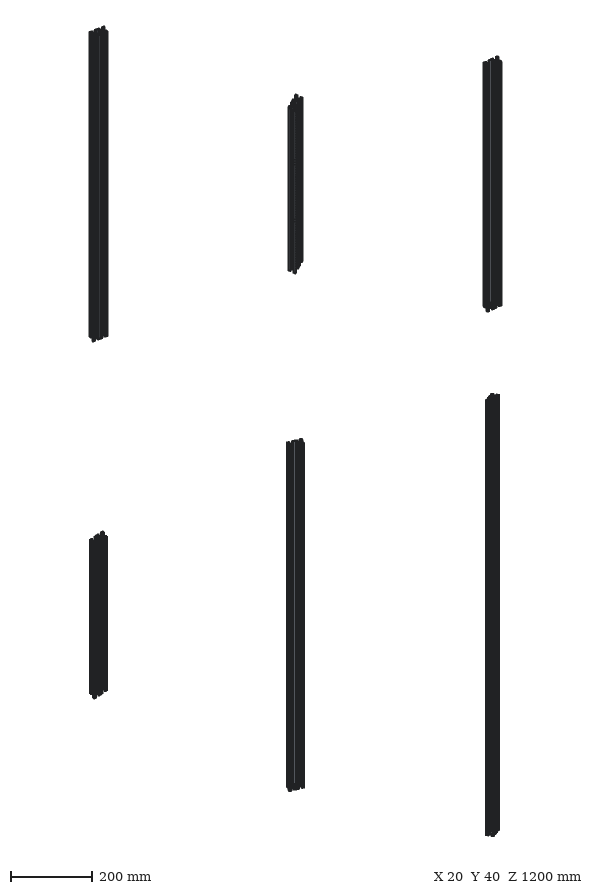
import cadquery as cq
import math

CELL = 20.0
CELL_COUNT = 2
LENGTH = 1200.0
CORNER_RADIUS = 0.5

WALL = 1.8
SLOT_MOUTH = 9.16
SLOT_THROAT = 6.2
SLOT_INNER_WIDTH = 11.0
CORE_WIDTH = 7.8
RIB_THICKNESS = 1.64
BORE_DIAMETER = 4.2

HALF_CELL = CELL / 2
WIDTH = CELL
DEPTH = CELL * CELL_COUNT
SKIN_INNER = HALF_CELL - WALL
HALF_CORE = CORE_WIDTH / 2
RIB_OFFSET = RIB_THICKNESS / 2 * math.sqrt(2)
RIB_FOOT = HALF_CORE - RIB_OFFSET
CELL_CENTERS = [(i - (CELL_COUNT - 1) / 2) * CELL for i in range(CELL_COUNT)]


def prism(points):
    """Closed outline extruded over the full length."""
    return cq.Workplane("XY").polyline(points).close().extrude(LENGTH)


def slot(angle, center_y):
    """V-slot of the cell at center_y, opening towards the given angle from +X."""
    half_mouth = SLOT_MOUTH / 2
    half_throat = SLOT_THROAT / 2
    half_inner = SLOT_INNER_WIDTH / 2
    upper_side = [
        (HALF_CELL, half_mouth),
        (HALF_CELL - (half_mouth - half_throat), half_throat),
        (SKIN_INNER, half_throat),
        (SKIN_INNER, half_inner),
        (half_inner + RIB_OFFSET, half_inner),
        (HALF_CORE, RIB_FOOT),
    ]
    lower_side = [(x, -y) for x, y in reversed(upper_side)]
    cutter = prism(upper_side + lower_side)
    return cutter.rotate((0, 0, 0), (0, 0, 1), angle).translate((0, center_y, 0))


def central_cavity():
    """Hollow between the two cores, bounded by the skins and the diagonal ribs."""
    half_wide = HALF_CELL - SLOT_INNER_WIDTH / 2 - WALL
    rib_x = HALF_CELL - RIB_OFFSET - half_wide
    quarter = [
        (SKIN_INNER, half_wide),
        (rib_x, half_wide),
        (RIB_FOOT, HALF_CELL - HALF_CORE),
    ]
    upper_half = quarter + [(-x, y) for x, y in reversed(quarter)]
    lower_half = [(-x, -y) for x, y in upper_half]
    return prism(upper_half + lower_half)


def bores():
    centers = [(0, y) for y in CELL_CENTERS]
    return cq.Workplane("XY").pushPoints(centers).circle(BORE_DIAMETER / 2).extrude(LENGTH)


result = cq.Workplane("XY").rect(WIDTH, DEPTH).extrude(LENGTH)
result = result.edges("|Z").fillet(CORNER_RADIUS)

for cell_y in CELL_CENTERS:
    for side_angle in (0, 180):
        result = result.cut(slot(side_angle, cell_y))
result = result.cut(slot(90, CELL_CENTERS[-1]))
result = result.cut(slot(-90, CELL_CENTERS[0]))

result = result.cut(central_cavity())
result = result.cut(bores())